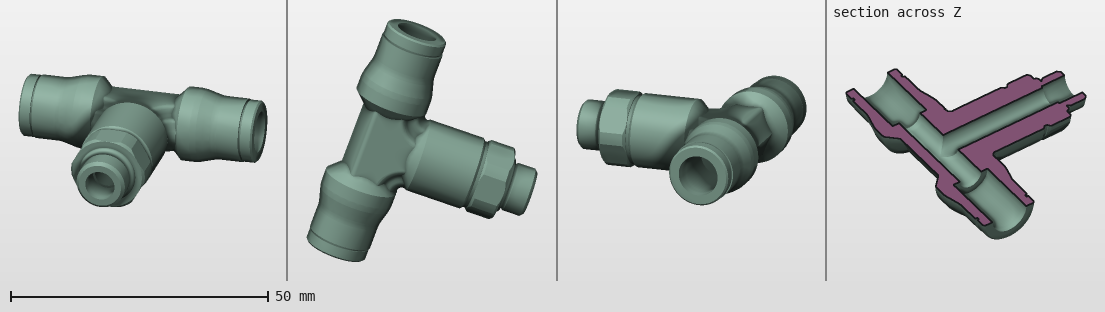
import cadquery as cq
import math


def sin(angle):
    return math.sin(math.radians(angle))


def cos(angle):
    return math.cos(math.radians(angle))


def tan(angle):
    return math.tan(math.radians(angle))


length = 47.0
half_length = length / 2
collar_radius = 14.5 / 2
collet_radius = 12.15 / 2
collet_chamfer = 0.35
groove_radius = 11.45 / 2
groove_start = 2.3
groove_end = 2.73
sleeve_radius = 12.45 / 2
flare_start = 7.15
flare_angle = 15.0
flare_bend_radius = 4.9
collar_end = 14.75
shoulder_tip_radius = 2.8
socket_radius = 8.0 / 2
socket_depth = 13.15
bore_radius = 5.0 / 2

barrel_start = 8.6
barrel_end = 20.15
barrel_chamfer = 0.5
hex_start = 20.77
hex_end = 26.25
hex_across_flats = 13.9
hex_corner_radius = 14.85 / 2
hex_chamfer = 0.45
seal_end = 27.05
seal_radius = 11.3 / 2
thread_end = 39.0 - collar_radius
thread_radius = 9.75 / 2
thread_chamfer = 0.6
mouth_radius = 5.88 / 2

block_half_height = 5.0
back_corner_y = 2.65
back_ridge_y = 4.95
block_reach = 8.55
blend_radius = 1.0
web_center = 8.15
web_half_height = 3.2
web_face_radius = 5.8
web_ledge_width = 0.65
web_wall_angle = 60.0
web_nose_radius = 2.55
cut_margin = 0.95


def make_socket():
    """One socket of the run, opening toward -X."""
    bend_length = flare_bend_radius * sin(flare_angle)
    bend_rise = flare_bend_radius * (1 - cos(flare_angle))
    ramp_rise = collar_radius - sleeve_radius - 2 * bend_rise
    ramp_start = flare_start + bend_length
    ramp_end = ramp_start + ramp_rise / tan(flare_angle)
    flare_end = ramp_end + bend_length
    half_bend_length = flare_bend_radius * sin(flare_angle / 2)
    half_bend_rise = flare_bend_radius * (1 - cos(flare_angle / 2))
    shoulder_tip = collar_end + collar_radius - shoulder_tip_radius

    profile = (
        cq.Workplane("XY", origin=(-half_length, 0, 0))
        .moveTo(0, 0)
        .lineTo(0, collet_radius - collet_chamfer)
        .lineTo(collet_chamfer, collet_radius)
        .lineTo(groove_start, collet_radius)
        .lineTo(groove_start, groove_radius)
        .lineTo(groove_end, groove_radius)
        .lineTo(groove_end, sleeve_radius)
        .lineTo(flare_start, sleeve_radius)
        .threePointArc(
            (flare_start + half_bend_length, sleeve_radius + half_bend_rise),
            (ramp_start, sleeve_radius + bend_rise),
        )
        .lineTo(ramp_end, collar_radius - bend_rise)
        .threePointArc(
            (flare_end - half_bend_length, collar_radius - half_bend_rise),
            (flare_end, collar_radius),
        )
        .lineTo(collar_end, collar_radius)
        .lineTo(shoulder_tip, shoulder_tip_radius)
        .lineTo(half_length, shoulder_tip_radius)
        .lineTo(half_length, 0)
        .close()
    )
    return profile.revolve(360, (0, 0, 0), (1, 0, 0))


def make_block():
    """Flat-sided block along X, tapering to a ridge at the +Y side."""
    section = [
        (-block_reach, -block_half_height),
        (back_corner_y, -block_half_height),
        (back_ridge_y, 0),
        (back_corner_y, block_half_height),
        (-block_reach, block_half_height),
    ]
    block = cq.Workplane("YZ").polyline(section).close().extrude(block_reach, both=True)
    back_corners = block.edges("|X and >Z").edges(">Y").add(block.edges("|X and <Z").edges(">Y"))
    return back_corners.fillet(blend_radius)


def make_corner_hollow(side):
    """Stepped body of revolution about a Z axis that hollows out one inner corner."""
    arc_run = blend_radius * sin(web_wall_angle)
    arc_drop = blend_radius * (1 - cos(web_wall_angle))
    mid_run = blend_radius * sin(web_wall_angle / 2)
    mid_drop = blend_radius * (1 - cos(web_wall_angle / 2))
    nose_angle = 90 - web_wall_angle
    nose_height = web_nose_radius * sin(nose_angle)

    step_drop = block_half_height - web_half_height - 2 * arc_drop
    rim = (web_face_radius, block_half_height)
    step_top = (web_face_radius - arc_run, block_half_height - arc_drop)
    step_foot = (step_top[0] - step_drop / tan(web_wall_angle), step_top[1] - step_drop)
    ledge_outer = step_foot[0] - arc_run
    ledge_inner = ledge_outer - web_ledge_width

    wall_top = (ledge_inner - arc_run, web_half_height - arc_drop)
    wall_foot = (wall_top[0] - (wall_top[1] - nose_height) / tan(web_wall_angle), nose_height)
    nose_tip = wall_foot[0] - web_nose_radius * (1 - cos(nose_angle))

    upper_bends = [
        (wall_top, (ledge_inner - mid_run, web_half_height - mid_drop), (ledge_inner, web_half_height)),
        ((ledge_outer, web_half_height), (ledge_outer + mid_run, web_half_height + mid_drop), step_foot),
        (step_top, (web_face_radius - mid_run, block_half_height - mid_drop), rim),
    ]
    nose = ((wall_foot[0], -wall_foot[1]), (nose_tip, 0), wall_foot)
    lower_bends = [
        tuple((radius, -height) for radius, height in reversed(bend)) for bend in reversed(upper_bends)
    ]

    cut_height = block_half_height + cut_margin
    profile = cq.Workplane("XZ").moveTo(0, -cut_height).lineTo(web_face_radius, -cut_height)
    for start, middle, end in lower_bends + [nose] + upper_bends:
        profile = profile.lineTo(*start).threePointArc(middle, end)
    profile = profile.lineTo(web_face_radius, cut_height).lineTo(0, cut_height).close()
    hollow = profile.revolve(360, (0, 0, 0), (0, 1, 0))
    return hollow.translate((side * web_center, -web_center, 0))


def make_leg():
    """Turned barrel, neck, seal ring and threaded end along -Y."""
    shoulder_tip = barrel_start - (collar_radius - shoulder_tip_radius)
    neck_radius = collar_radius - barrel_chamfer
    thread_root = thread_radius - thread_chamfer
    seal_round = seal_end - hex_end
    round_offset = seal_round * (1 - cos(45))
    profile = (
        cq.Workplane("XY")
        .moveTo(0, 0)
        .lineTo(shoulder_tip_radius, 0)
        .lineTo(shoulder_tip_radius, -shoulder_tip)
        .lineTo(collar_radius, -barrel_start)
        .lineTo(collar_radius, barrel_chamfer - barrel_end)
        .lineTo(neck_radius, -barrel_end)
        .lineTo(neck_radius, -hex_start)
        .lineTo(neck_radius, -hex_end)
        .lineTo(seal_radius, -hex_end)
        .threePointArc(
            (seal_radius - round_offset, round_offset - seal_end),
            (seal_radius - seal_round, -seal_end),
        )
        .lineTo(thread_root, -seal_end)
        .lineTo(thread_radius, -seal_end - thread_chamfer)
        .lineTo(thread_radius, thread_chamfer - thread_end)
        .lineTo(thread_root, -thread_end)
        .lineTo(0, -thread_end)
        .close()
    )
    return profile.revolve(360, (0, 0, 0), (0, 1, 0))


def make_hex():
    """Hexagon with flats facing +Z and -Z, turned down to rounded, chamfered corners."""
    width = hex_end - hex_start
    start_plane = cq.Workplane("XZ", origin=(0, -hex_start, 0))
    prism = start_plane.polygon(6, hex_across_flats / cos(30)).extrude(width)
    blank = start_plane.circle(hex_corner_radius).extrude(width).edges().chamfer(hex_chamfer)
    return prism.intersect(blank)


def y_cylinder(radius, start, end):
    """Cylinder on the leg axis between two distances from the run axis."""
    return cq.Workplane("XZ", origin=(0, -start, 0)).circle(radius).extrude(end - start)


def x_cylinder(radius, start, end):
    """Cylinder on the run axis between two X positions."""
    return cq.Workplane("YZ", origin=(start, 0, 0)).circle(radius).extrude(end - start)


body = make_block()
for side in (-1, 1):
    body = body.cut(make_corner_hollow(side))

socket = make_socket()
body = body.union(socket).union(socket.mirror("YZ"))
body = body.union(make_leg()).union(make_hex())

body = body.cut(x_cylinder(bore_radius, -half_length, half_length))
body = body.cut(x_cylinder(socket_radius, -half_length, socket_depth - half_length))
body = body.cut(x_cylinder(socket_radius, half_length - socket_depth, half_length))
body = body.cut(y_cylinder(bore_radius, 0, thread_end))
body = body.cut(y_cylinder(mouth_radius, hex_end, thread_end))

result = body